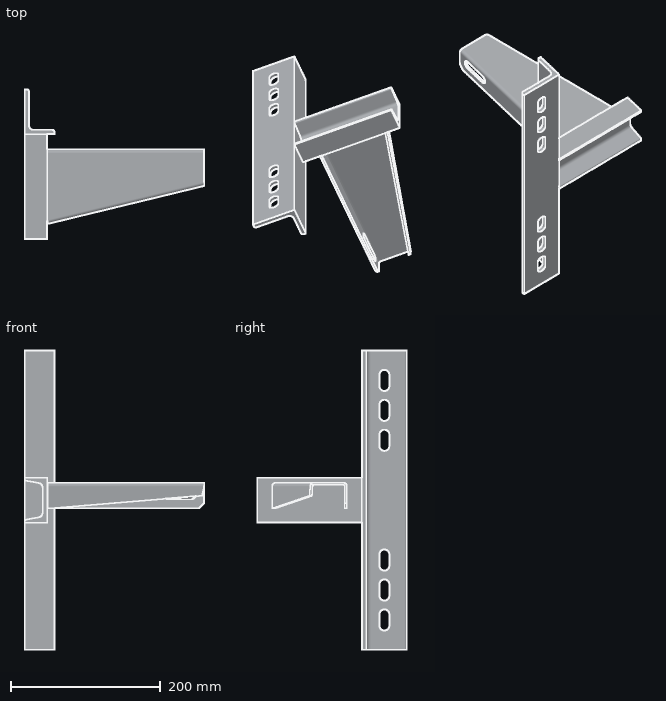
import cadquery as cq
import math


post_height = 400.0
post_long_leg = 60.0
post_short_leg = 40.0
post_thickness = 6.0
post_root_radius = 6.0
post_toe_radius = 3.0

slot_width = 13.0
slot_length = 28.0
slot_pitch = 40.0
slots_per_end = 3
outer_slot_height = 160.0

channel_height = 60.0
channel_depth = 30.0
channel_length = 140.0
web_thickness = 6.0
flange_tip_thickness = 3.6
flange_taper_angle = 10.5
channel_root_radius = 6
channel_tip_radius = 2

sheet_thickness = 3.0
bend_radius = 5.0
arm_start = channel_depth
arm_end = 240.0
arm_top = 23.5
arm_height = 34.5
arm_back = -20.0
front_bend_at_start = -115.0
front_bend_at_end = -64.0
front_wall_end_height = 17.6
front_wall_level_run = 4.0
bend_bulge = 0.27
back_corner_chamfer = 7.0

arm_slot_width = 13.0
arm_slot_length = 44.0
arm_slot_end = 229.0
arm_slot_depth = 15.5


def make_post():
    root = (post_thickness, post_thickness)
    post = (
        cq.Workplane("XY", origin=(0, 0, -post_height / 2))
        .polyline([
            (0, 0),
            (post_short_leg, 0),
            (post_short_leg, post_thickness),
            root,
            (post_thickness, post_long_leg),
            (0, post_long_leg),
        ])
        .close()
        .extrude(post_height)
    )

    def inner_edge(x, y):
        return cq.selectors.NearestToPointSelector((x, y, 0))

    post = post.edges(inner_edge(*root)).fillet(post_root_radius)
    post = post.edges(inner_edge(post_short_leg, post_thickness)).fillet(post_toe_radius)
    post = post.edges(inner_edge(post_thickness, post_long_leg)).fillet(post_toe_radius)

    slot_heights = [outer_slot_height - i * slot_pitch for i in range(slots_per_end)]
    slot_centres = [(post_long_leg / 2, side * z) for z in slot_heights for side in (1, -1)]
    slots = (
        cq.Workplane("YZ")
        .pushPoints(slot_centres)
        .slot2D(slot_length, slot_width, 90)
        .extrude(post_thickness)
    )
    return post.cut(slots)


def make_channel():
    half = channel_height / 2
    web_inside = channel_depth - web_thickness
    taper = math.tan(math.radians(flange_taper_angle))
    tip = half - flange_tip_thickness
    root = tip - web_inside * taper
    channel = (
        cq.Workplane("XZ")
        .polyline([
            (0, half),
            (channel_depth, half),
            (channel_depth, -half),
            (0, -half),
            (0, -tip),
            (web_inside, -root),
            (web_inside, root),
            (0, tip),
        ])
        .close()
        .extrude(channel_length)
    )
    middle = -channel_length / 2
    for side in (1, -1):
        root_edge = cq.selectors.NearestToPointSelector((web_inside, middle, side * root))
        channel = channel.edges(root_edge).fillet(channel_root_radius)
        tip_edge = cq.selectors.NearestToPointSelector((0, middle, side * tip))
        channel = channel.edges(tip_edge).fillet(channel_tip_radius)
    return channel


def folded_wall(start, direction, outward, length):
    """Bend and hanging wall of full height, running from start along direction."""
    plane = cq.Plane(origin=start, xDir=outward, normal=direction)
    down = -1 if plane.yDir.z > 0 else 1
    inner_radius = bend_radius - sheet_thickness
    mid = math.sqrt(0.5)
    return (
        cq.Workplane(plane)
        .moveTo(0, 0)
        .threePointArc(
            (bend_radius * mid, down * bend_radius * (1 - mid)),
            (bend_radius, down * bend_radius),
        )
        .lineTo(bend_radius, down * arm_height)
        .lineTo(inner_radius, down * arm_height)
        .lineTo(inner_radius, down * bend_radius)
        .threePointArc(
            (inner_radius * mid, down * (bend_radius - inner_radius * mid)),
            (0, down * sheet_thickness),
        )
        .close()
        .extrude(length)
    )


def make_arm():
    back_bend = arm_back - bend_radius
    bottom = arm_top - arm_height
    run = arm_end - arm_start
    front_angle = math.atan2(front_bend_at_end - front_bend_at_start, run)

    plate = (
        cq.Workplane("XY")
        .workplane(offset=arm_top - sheet_thickness)
        .polyline([
            (arm_start, back_bend),
            (arm_end, back_bend),
            (arm_end, front_bend_at_end),
            (arm_start, front_bend_at_start),
        ])
        .close()
        .extrude(sheet_thickness)
    )

    back_wall = folded_wall((arm_start, back_bend, arm_top), (1, 0, 0), (0, 1, 0), run)
    back_wall = back_wall.edges("|Y and >X and <Z").chamfer(back_corner_chamfer)
    back_slot = (
        cq.Workplane("XZ", origin=(0, arm_back, 0))
        .center(arm_slot_end - arm_slot_length / 2, arm_top - arm_slot_depth)
        .slot2D(arm_slot_length, arm_slot_width)
        .extrude(sheet_thickness)
    )
    back_wall = back_wall.cut(back_slot)

    front_wall = folded_wall(
        (arm_start, front_bend_at_start, arm_top),
        (math.cos(front_angle), math.sin(front_angle), 0),
        (math.sin(front_angle), -math.cos(front_angle), 0),
        run / math.cos(front_angle),
    )
    end_lean = (front_wall_end_height - bend_radius) * math.sin(front_angle)
    trim = (
        cq.Workplane("XZ")
        .moveTo(arm_start, arm_top)
        .lineTo(arm_end, arm_top)
        .threePointArc(
            (arm_end + bend_bulge, arm_top - bend_radius / 2),
            (arm_end, arm_top - bend_radius),
        )
        .lineTo(arm_end - end_lean, arm_top - front_wall_end_height)
        .lineTo(arm_start + front_wall_level_run, bottom)
        .lineTo(arm_start, bottom)
        .close()
        .extrude(channel_length)
    )
    front_wall = front_wall.intersect(trim)
    return plate.union(back_wall).union(front_wall)


post = make_post()
channel = make_channel()
arm = make_arm()

result = cq.Compound.makeCompound([post.val(), channel.val(), arm.val()])